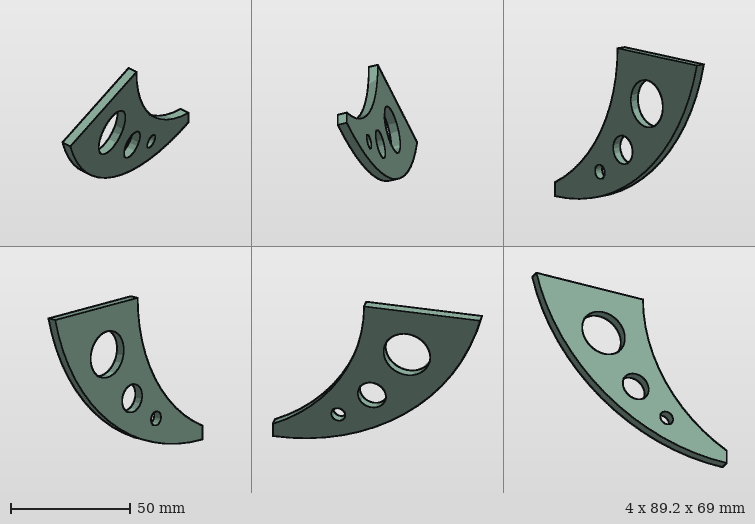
import cadquery as cq

length = 89.2
height = 69.0
thickness = 4.0

top_edge_width = 50.0
tip_height = 6.0
outer_radius = 90.1
inner_radius = 70.0

holes = [
    (31.5, 48.0, 20.0),
    (46.6, 26.05, 12.0),
    (61.0, 14.5, 6.0),
]

side_plane = cq.Workplane("YZ", origin=(-thickness / 2, 0, 0))


def make_blade():
    """Plate bounded by a convex outer arc, a concave inner arc and two straight ends."""
    return (
        side_plane
        .moveTo(0, height)
        .lineTo(top_edge_width, height)
        .radiusArc((length, tip_height), -inner_radius)
        .lineTo(length, 0)
        .radiusArc((0, height), outer_radius)
        .close()
        .extrude(thickness)
    )


def make_hole(y, z, diameter):
    """Cylinder through the full thickness of the plate."""
    return side_plane.moveTo(y, z).circle(diameter / 2).extrude(thickness)


result = make_blade()
for hole_y, hole_z, hole_diameter in holes:
    result = result.cut(make_hole(hole_y, hole_z, hole_diameter))